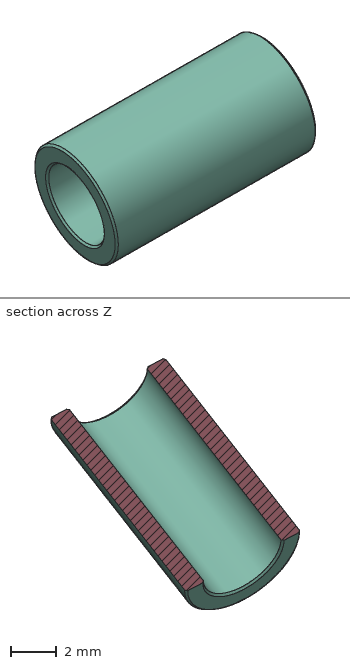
import cadquery as cq

length = 11.0
outer_diameter = 5.95
bore_diameter = 4.0
edge_chamfer = 0.1

sleeve = (
    cq.Workplane("XZ", origin=(0, length / 2, 0))
    .circle(outer_diameter / 2)
    .circle(bore_diameter / 2)
    .extrude(length)
)

result = sleeve.faces("<Y or >Y").edges().chamfer(edge_chamfer)